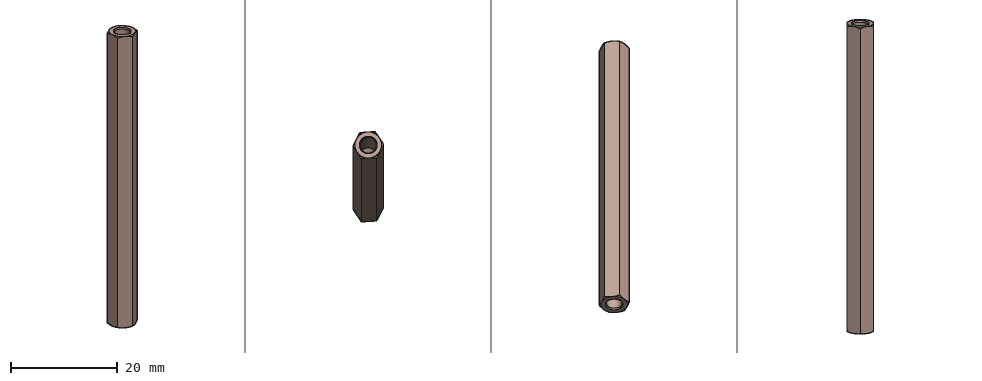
import cadquery as cq
import math

length = 60.0
across_flats = 5.005
hexagon_sides = 6
across_corners = across_flats / math.cos(math.pi / hexagon_sides)

end_face_diameter = 5.0
corner_chamfer_angle = 30.0
corner_clearance = 1.0

hole_diameter = 3.0
hole_depth = 10.0
drill_point_angle = 120.0
mouth_diameter = 3.32
countersink_angle = 60.0


def make_hexagon_bar():
    """Hexagonal bar with corners on the X axis, standing on Z = 0."""
    return cq.Workplane("XY").polygon(hexagon_sides, across_corners).extrude(length)


def make_turned_envelope():
    """Solid of revolution whose chamfered ends trim the hexagon corners."""
    end_radius = end_face_diameter / 2
    corner_radius = across_corners / 2
    outer_radius = corner_radius + corner_clearance
    chamfer_height = (outer_radius - end_radius) * math.tan(math.radians(corner_chamfer_angle))
    return (
        cq.Workplane("XZ")
        .lineTo(end_radius, 0)
        .lineTo(outer_radius, chamfer_height)
        .lineTo(outer_radius, length - chamfer_height)
        .lineTo(end_radius, length)
        .lineTo(0, length)
        .close()
        .revolve(360, (0, 0), (0, 1))
    )


def make_top_hole():
    """Cutter for the top hole: countersunk mouth, bore and conical drill point."""
    hole_radius = hole_diameter / 2
    mouth_radius = mouth_diameter / 2
    countersink_depth = (mouth_radius - hole_radius) / math.tan(math.radians(countersink_angle / 2))
    point_height = hole_radius / math.tan(math.radians(drill_point_angle / 2))
    bore_end = length - hole_depth
    return (
        cq.Workplane("XZ")
        .moveTo(0, length)
        .lineTo(mouth_radius, length)
        .lineTo(hole_radius, length - countersink_depth)
        .lineTo(hole_radius, bore_end)
        .lineTo(0, bore_end - point_height)
        .close()
        .revolve(360, (0, 0), (0, 1))
    )


top_hole = make_top_hole()
bottom_hole = top_hole.mirror("XY", (0, 0, length / 2))

spacer = make_hexagon_bar().intersect(make_turned_envelope())
result = spacer.cut(top_hole).cut(bottom_hole)